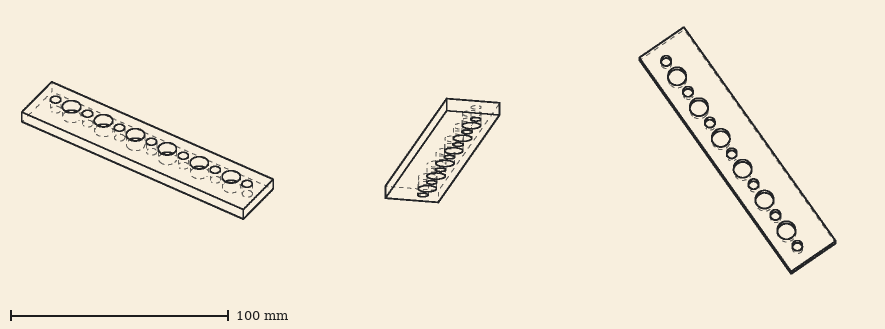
import cadquery as cq

length = 122.0
width = 25.0
thickness = 6.0

small_diameter = 4.8
large_diameter = 8.4
small_count = 7
large_count = small_count - 1
hole_spacing = 17.6
back_edge_distance = 9.3
row_y = width / 2 - back_edge_distance


def drill_row(plate, count, diameter):
    """Drill evenly spaced through holes along X, centred on the plate."""
    first_x = -(count - 1) * hole_spacing / 2
    centers = [(first_x + i * hole_spacing, row_y) for i in range(count)]
    return plate.faces(">Z").workplane(origin=(0, 0, 0)).pushPoints(centers).hole(diameter)


result = cq.Workplane("XY").box(length, width, thickness)
result = drill_row(result, small_count, small_diameter)
result = drill_row(result, large_count, large_diameter)